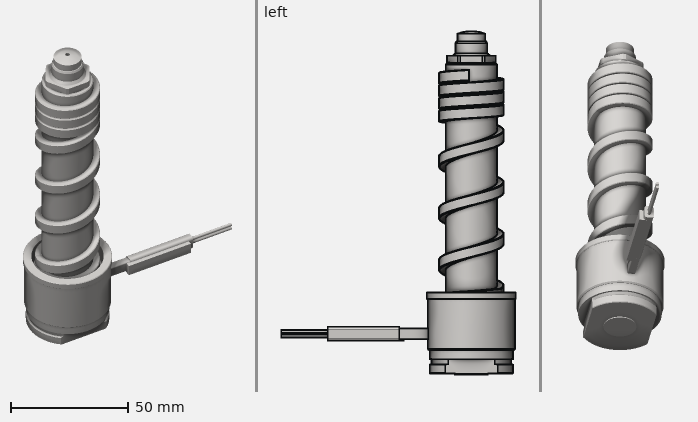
import cadquery as cq
import math

TOTAL_HEIGHT = 146.2
PAD_HEIGHT = 0.4
FOOT_TOP = 4.4
NECK_TOP = 6.5
RING_TOP = 10.3
FLANGE_TOP = 35.0
SHAFT_TOP = 132.2
HEX_TOP = 135.7

PAD_RADIUS = 7.0
FOOT_RADIUS = 17.8
NECK_RADIUS = 17.0
FOOT_FLATS = 27.7
RING_RADIUS = 17.8
HOUSING_RADIUS = 18.6
FLANGE_RADIUS = 19.0
FLANGE_HEIGHT = 3.0
HOUSING_CHAMFER = 0.6
EDGE_CHAMFER = 0.3
POCKET_RADIUS = 15.4
POCKET_DEPTH = 8.0

SHAFT_RADIUS = 11.0
SHAFT_CHAMFER = 0.4
HEX_FLATS = 18.6
HEX_CORNER_RADIUS = 10.4
HEX_UNDERCUT = 0.5
STUB_FOOT_RADIUS = 7.9
STUB_FOOT_HEIGHT = 1.0
STUB_RADIUS = 6.8
STUB_TOP = 141.8
STUB_BEVEL_WIDTH = 0.5
STUB_BEVEL_HEIGHT = 0.9
CAP_RADIUS = 6.0
CAP_EDGE_DROP = 1.2
CENTRE_HOLE_RADIUS = 1.0
CENTRE_HOLE_DEPTH = 1.5

SPRING_RADIUS = 13.85
COIL_WIRE_HEIGHT = 4.75
COIL_WIRE_CHAMFER = 0.3
COIL_WIRE_EMBED = 0.2
CLOSED_PITCH = 5.4
OPEN_PITCH = 22.0
SPRING_TOP = 129.8
UPPER_END_ANGLE = 175.0
UPPER_CLOSED_TURNS = 3.4
OPEN_TURNS = 3.4
LOWER_CLOSED_TURNS = 1.0

LEAD_X = -1.45
LEAD_Z = 17.35
LEAD_END = 81.0
SLEEVE_END = 61.2
SLEEVE_LENGTH = 30.6
SLEEVE_WIDTH = 4.0
SLEEVE_HEIGHT = 6.0
CABLE_WIDTH = 3.5
CABLE_HEIGHT = 4.7
CABLE_START = 17.0
CABLE_ROUNDING = 0.5
SLEEVE_ROUNDING = 1.15
LEAD_WIRE_DIAMETER = 1.4
LEAD_WIRE_SPACING = 1.9
TAB_REACH = 2.4
TAB_END = 59.0
TAB_LENGTH = 30.3
TAB_HEIGHT = 5.0


def cylinder(radius, bottom, top):
    return cq.Workplane("XY").workplane(offset=bottom).circle(radius).extrude(top - bottom)


def make_foot():
    """Grooved foot with two flats across X, standing on a thin round pad."""
    foot = cylinder(FOOT_RADIUS, PAD_HEIGHT, FOOT_TOP).edges().chamfer(EDGE_CHAMFER)
    foot = foot.union(cylinder(NECK_RADIUS, FOOT_TOP, NECK_TOP))
    flats = cq.Workplane("XY").box(FOOT_FLATS, 2 * FOOT_RADIUS, NECK_TOP, centered=(True, True, False))
    return foot.intersect(flats).union(cylinder(PAD_RADIUS, 0, PAD_HEIGHT))


def make_housing():
    """Stepped round housing with a flange and an annular pocket for the spring."""
    flange_bottom = FLANGE_TOP - FLANGE_HEIGHT
    housing = cylinder(HOUSING_RADIUS, RING_TOP, flange_bottom).faces("<Z").chamfer(HOUSING_CHAMFER)
    flange = cylinder(FLANGE_RADIUS, flange_bottom, FLANGE_TOP).edges().chamfer(EDGE_CHAMFER)
    housing = housing.union(cylinder(RING_RADIUS, NECK_TOP, RING_TOP)).union(flange)
    return housing.cut(cylinder(POCKET_RADIUS, FLANGE_TOP - POCKET_DEPTH, FLANGE_TOP))


def make_shaft():
    """Shaft rising through the spring, with a hexagon above it."""
    shaft = cylinder(SHAFT_RADIUS, RING_TOP, SHAFT_TOP).faces(">Z").chamfer(SHAFT_CHAMFER)
    hex_bottom = SHAFT_TOP + HEX_UNDERCUT
    hexagon = (
        cq.Workplane("XY")
        .workplane(offset=hex_bottom)
        .polygon(6, HEX_FLATS, circumscribed=True)
        .extrude(HEX_TOP - hex_bottom)
        .intersect(cylinder(HEX_CORNER_RADIUS, hex_bottom, HEX_TOP))
    )
    return shaft.union(cylinder(HEX_FLATS / 2, SHAFT_TOP, hex_bottom)).union(hexagon)


def make_tip():
    """Turned stub with a flared foot and a domed cap, drilled at its centre."""
    cap_edge = TOTAL_HEIGHT - CAP_EDGE_DROP
    dome_radius = (CAP_RADIUS**2 + CAP_EDGE_DROP**2) / (2 * CAP_EDGE_DROP)
    mid_radius = CAP_RADIUS / 2
    mid_height = TOTAL_HEIGHT - dome_radius + math.sqrt(dome_radius**2 - mid_radius**2)
    tip = (
        cq.Workplane("XZ")
        .moveTo(0, HEX_TOP)
        .lineTo(STUB_FOOT_RADIUS, HEX_TOP)
        .lineTo(STUB_RADIUS, HEX_TOP + STUB_FOOT_HEIGHT)
        .lineTo(STUB_RADIUS, STUB_TOP - STUB_BEVEL_HEIGHT)
        .lineTo(STUB_RADIUS - STUB_BEVEL_WIDTH, STUB_TOP)
        .lineTo(CAP_RADIUS, STUB_TOP)
        .lineTo(CAP_RADIUS, cap_edge)
        .threePointArc((mid_radius, mid_height), (0, TOTAL_HEIGHT))
        .close()
        .revolve(360, (0, 0, 0), (0, 1, 0))
    )
    return tip.cut(cylinder(CENTRE_HOLE_RADIUS, TOTAL_HEIGHT - CENTRE_HOLE_DEPTH, TOTAL_HEIGHT))


def make_coil(pitch, turns, start_angle, wire_bottom):
    """One helical stretch of the flat wire, starting at an angle from +X and rising."""
    inner = SHAFT_RADIUS - COIL_WIRE_EMBED
    bevel = SPRING_RADIUS - COIL_WIRE_CHAMFER
    section = cq.Workplane("XZ").polyline([
        (inner, 0),
        (bevel, 0),
        (SPRING_RADIUS, COIL_WIRE_CHAMFER),
        (SPRING_RADIUS, COIL_WIRE_HEIGHT - COIL_WIRE_CHAMFER),
        (bevel, COIL_WIRE_HEIGHT),
        (inner, COIL_WIRE_HEIGHT),
    ]).close()
    path = cq.Wire.makeHelix(pitch, pitch * turns, SHAFT_RADIUS)
    coil = section.sweep(cq.Workplane(path), isFrenet=True)
    return coil.rotate((0, 0, 0), (0, 0, 1), start_angle).translate((0, 0, wire_bottom))


def make_spring():
    """Coil stretches from the top down: closed turns, open turns, closed turns."""
    stretches = (
        (CLOSED_PITCH, UPPER_CLOSED_TURNS),
        (OPEN_PITCH, OPEN_TURNS),
        (CLOSED_PITCH, LOWER_CLOSED_TURNS),
    )
    angle = UPPER_END_ANGLE
    wire_bottom = SPRING_TOP - COIL_WIRE_HEIGHT
    coils = []
    for pitch, turns in stretches:
        angle -= 360 * turns
        wire_bottom -= pitch * turns
        coils.append(make_coil(pitch, turns, angle, wire_bottom))
    return coils


def lead_bar(width, height, rounding, start, end):
    """Bar along +Y, centred on the lead, with its long edges rounded."""
    return (
        cq.Workplane("XY")
        .box(width, end - start, height, centered=(True, False, True))
        .edges("|Y")
        .fillet(rounding)
        .translate((LEAD_X, start, LEAD_Z))
    )


def make_lead():
    """Cable, sleeve with a side tab, and two bare wires."""
    sleeve_start = SLEEVE_END - SLEEVE_LENGTH
    lead = lead_bar(CABLE_WIDTH, CABLE_HEIGHT, CABLE_ROUNDING, CABLE_START, SLEEVE_END)
    lead = lead.union(lead_bar(SLEEVE_WIDTH, SLEEVE_HEIGHT, SLEEVE_ROUNDING, sleeve_start, SLEEVE_END))
    tab = (
        cq.Workplane("XY")
        .box(TAB_REACH - LEAD_X, TAB_LENGTH, TAB_HEIGHT, centered=False)
        .translate((LEAD_X, TAB_END - TAB_LENGTH, LEAD_Z - SLEEVE_HEIGHT / 2))
    )
    lead = lead.union(tab)
    for side in (-1, 1):
        wire = cq.Solid.makeCylinder(
            LEAD_WIRE_DIAMETER / 2,
            LEAD_END - sleeve_start,
            cq.Vector(LEAD_X, sleeve_start, LEAD_Z + side * LEAD_WIRE_SPACING / 2),
            cq.Vector(0, 1, 0),
        )
        lead = lead.union(cq.Workplane(wire))
    return lead


result = make_foot().union(make_housing()).union(make_shaft()).union(make_tip()).union(make_lead())
for coil in make_spring():
    result = result.union(coil)